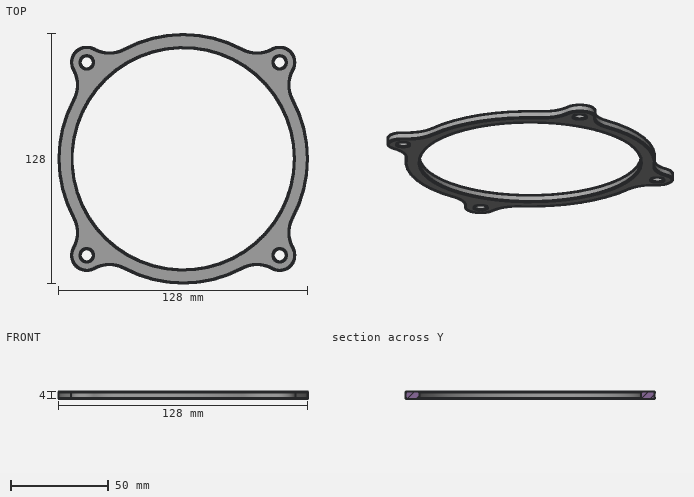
import cadquery as cq
import math

thickness = 4.0
ring_radius = 64.0
bore_diameter = 113.6

ear_count = 4
first_ear_angle = 45.0
bolt_circle_radius = 70.0
ear_radius = 8.0
hole_diameter = 6.3
neck_radius = 16.0

edge_chamfer = 0.5

ear_pitch = 360.0 / ear_count
ear_angles = [first_ear_angle + i * ear_pitch for i in range(ear_count)]


def polar(radius, angle):
    """Point at a distance from the axis and an angle in degrees."""
    return (radius * math.cos(math.radians(angle)), radius * math.sin(math.radians(angle)))


def toward(start, end, distance):
    """Point at a distance from start along the line to end."""
    length = math.dist(start, end)
    return tuple(s + (e - s) * distance / length for s, e in zip(start, end))


def neck_arc(ear_angle, side):
    """Ring tangent point, middle and ear tangent point of a neck; side is -1 or +1."""
    ring_to_neck = ring_radius + neck_radius
    ear_to_neck = ear_radius + neck_radius
    cosine = (ring_to_neck**2 + bolt_circle_radius**2 - ear_to_neck**2) / (
        2 * ring_to_neck * bolt_circle_radius
    )
    neck_angle = ear_angle + side * math.degrees(math.acos(cosine))
    neck_center = polar(ring_to_neck, neck_angle)
    ear_center = polar(bolt_circle_radius, ear_angle)
    on_ring = polar(ring_radius, neck_angle)
    on_ear = toward(ear_center, neck_center, ear_radius)
    chord_middle = tuple((a + b) / 2 for a, b in zip(on_ring, on_ear))
    return on_ring, toward(neck_center, chord_middle, neck_radius), on_ear


def make_plate():
    """Solid plate: ring outline with four ears blended in by tangent arcs."""
    start = neck_arc(ear_angles[0], -1)[0]
    outline = cq.Workplane("XY").moveTo(*start)
    for angle in ear_angles:
        _, neck_in_middle, ear_start = neck_arc(angle, -1)
        neck_out_end, neck_out_middle, ear_end = neck_arc(angle, 1)
        next_ring_end = neck_arc(angle + ear_pitch, -1)[0]
        ear_tip = polar(bolt_circle_radius + ear_radius, angle)
        ring_middle = polar(ring_radius, angle + ear_pitch / 2)
        outline = (
            outline.threePointArc(neck_in_middle, ear_start)
            .threePointArc(ear_tip, ear_end)
            .threePointArc(neck_out_middle, neck_out_end)
            .threePointArc(ring_middle, next_ring_end)
        )
    return outline.close().extrude(thickness)


def cut_openings(plate):
    """Cut the central bore and one through hole in each ear."""
    hole_centers = [polar(bolt_circle_radius, angle) for angle in ear_angles]
    bore = cq.Workplane("XY").circle(bore_diameter / 2).extrude(thickness)
    holes = cq.Workplane("XY").pushPoints(hole_centers).circle(hole_diameter / 2).extrude(thickness)
    return plate.cut(bore).cut(holes)


def break_edges(body):
    """Chamfer all edges of the top and bottom faces."""
    return body.faces("<Z or >Z").edges().chamfer(edge_chamfer)


result = break_edges(cut_openings(make_plate()))